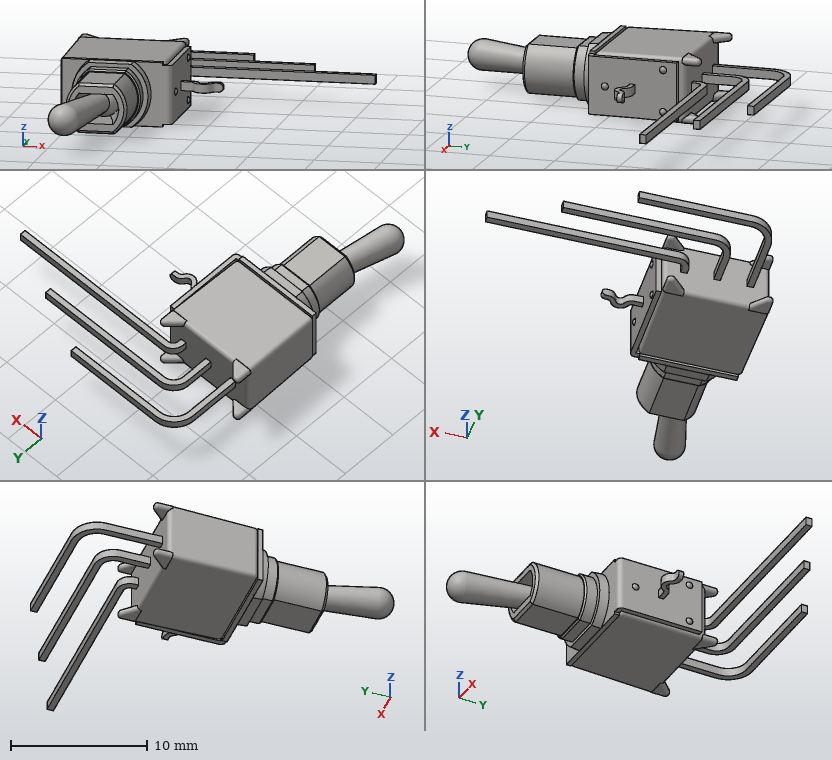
import cadquery as cq
import math

OVERLAP = 0.1

HOUSING_HALF_X = 4.07
HOUSING_HALF_Z = 2.5
HOUSING_REAR = 7.5
HOUSING_EDGE = 0.32
HOUSING_DRAFT = 0.9
POST_TIP = 8.55
POST_TIP_WIDTH = 0.5
POST_HEIGHT = 0.57
POST_TIP_ROUND = 0.27
POST_EDGE_ROUND = 0.27

SHEET = 0.4
BEND_OUTER_RADIUS = 0.37
PLATE_LEFT = -3.75
PLATE_RIGHT = 3.8
PLATE_HALF_Z = 2.42
LEG_OUTER = 4.5
LEG_HALF_Z = 2.22
LEG_REAR = 6.9
BUMP_RADIUS = 0.27
BUMP_HEIGHT = 0.15
FRONT_BUMP_Y = 1.37
REAR_BUMP_Y = 5.85
REAR_BUMP_Z = 1.6
BUMP_PLACES = ((FRONT_BUMP_Y, 0), (REAR_BUMP_Y, REAR_BUMP_Z), (REAR_BUMP_Y, -REAR_BUMP_Z))

TAB_Y = 3.5
TAB_TIP = 7.65
TAB_TIP_ROUND = 0.32
KINK_X = 6.19
KINK_HALF_LENGTH = 1.0
KINK_DEPTH = 0.6

STRIP_WIDTH = 0.67
LEAD_COUNT = 3
LEAD_PITCH = 2.55
LEAD_THICK = 0.5
LONGEST_LEAD_END = 18.0
NEAREST_LEAD_Y = 8.58
NEAREST_BEND_RADIUS = 0.75
BEND_RADIUS_STEP = 0.5

NUT_RADIUS, NUT_HALF_Z, NUT_FRONT = 2.95, 2.45, -0.75
NUT_TAPER = 6.0
COLLAR_RADIUS, COLLAR_HALF_Z, COLLAR_FRONT = 2.5, 2.07, -1.75
COLLAR_CHAMFER = 0.12
BARREL_RADIUS, BARREL_HALF_Z, BARREL_FRONT = 2.3, 1.87, -5.7
BARREL_CHAMFER = 0.2
SOCKET_MOUTH_RADIUS = 1.7
SOCKET_HALF_Z = 1.12

PIVOT_Y = -2.67
PIVOT_RADIUS = 1.2
LEVER_TILT = 12.0
LEVER_ROOT_RADIUS = 0.75
LEVER_TIP_RADIUS = 1.17
LEVER_FRONT = -11.02


def box_between(x_range, y_range, half_z):
    """Box spanning the given X and Y ranges, centred on Z = 0."""
    return (
        cq.Workplane("XY", origin=(0, 0, -half_z))
        .moveTo(x_range[0], y_range[0])
        .lineTo(x_range[1], y_range[0])
        .lineTo(x_range[1], y_range[1])
        .lineTo(x_range[0], y_range[1])
        .close()
        .extrude(2 * half_z)
    )


def flatted_disc(radius, half_z, rear, front, taper=0):
    """Disc along -Y with flats at +Z and -Z."""
    half_chord = math.sqrt(radius**2 - half_z**2)
    return (
        cq.Workplane("XZ", origin=(0, rear, 0))
        .moveTo(-half_chord, half_z)
        .lineTo(half_chord, half_z)
        .threePointArc((radius, 0), (half_chord, -half_z))
        .lineTo(-half_chord, -half_z)
        .threePointArc((-radius, 0), (-half_chord, half_z))
        .close()
        .extrude(rear - front, taper=taper)
    )


def make_housing():
    return (
        cq.Workplane("XZ", origin=(0, HOUSING_REAR, 0))
        .rect(2 * HOUSING_HALF_X, 2 * HOUSING_HALF_Z)
        .extrude(HOUSING_REAR - SHEET, taper=HOUSING_DRAFT)
        .edges().fillet(HOUSING_EDGE)
    )


def make_post():
    """Rounded post on the rear corner at +X, +Z, with a 45 degree inner slope."""
    foot = HOUSING_REAR - HOUSING_EDGE
    slope_top = HOUSING_HALF_X - POST_TIP_WIDTH
    slope_foot = slope_top - (POST_TIP - foot)
    return (
        cq.Workplane("XY", origin=(0, 0, HOUSING_HALF_Z - POST_HEIGHT))
        .moveTo(slope_foot, foot)
        .lineTo(HOUSING_HALF_X, foot)
        .lineTo(HOUSING_HALF_X, POST_TIP)
        .lineTo(slope_top, POST_TIP)
        .close()
        .extrude(POST_HEIGHT)
        .edges("|Z and >Y").fillet(POST_TIP_ROUND)
        .faces("<Z or >Z").edges("not <Y").fillet(POST_EDGE_ROUND)
    )


def make_bracket():
    plate = box_between((PLATE_LEFT, PLATE_RIGHT), (0, SHEET), PLATE_HALF_Z)
    bend = box_between((PLATE_RIGHT, LEG_OUTER), (0, SHEET), LEG_HALF_Z)
    leg = box_between((LEG_OUTER - SHEET, LEG_OUTER), (0, LEG_REAR), LEG_HALF_Z)
    angle = bend.union(leg).edges("|Z and >X and <Y").fillet(BEND_OUTER_RADIUS)
    return plate.union(angle)


def make_bump(y, z):
    """Low dome on the outside of the bracket leg."""
    dome_radius = (BUMP_RADIUS**2 + BUMP_HEIGHT**2) / (2 * BUMP_HEIGHT)
    root_x = LEG_OUTER - OVERLAP
    profile = (
        cq.Workplane("XY", origin=(0, y, z))
        .moveTo(root_x, 0)
        .lineTo(root_x, BUMP_RADIUS)
        .lineTo(LEG_OUTER, BUMP_RADIUS)
        .radiusArc((LEG_OUTER + BUMP_HEIGHT, 0), dome_radius)
        .close()
    )
    return profile.revolve(360, (0, 0, 0), (1, 0, 0))


def make_tab():
    """Strip with a smooth kink toward -Y and a round tip."""
    run, drop = KINK_HALF_LENGTH, KINK_DEPTH
    bend_radius = (run**2 + drop**2) / (4 * drop)
    start, end = KINK_X - run, KINK_X + run
    turn = 2 * math.atan(drop / run)
    arc_x = bend_radius * math.sin(turn / 2)
    arc_y = bend_radius * (1 - math.cos(turn / 2))
    centreline = (
        cq.Workplane("XY")
        .moveTo(LEG_OUTER - OVERLAP, TAB_Y)
        .lineTo(start, TAB_Y)
        .threePointArc((start + arc_x, TAB_Y - arc_y), (KINK_X - run / 2, TAB_Y - drop / 2))
        .threePointArc((KINK_X, TAB_Y - drop), (KINK_X + run / 2, TAB_Y - drop / 2))
        .threePointArc((end - arc_x, TAB_Y - arc_y), (end, TAB_Y))
        .lineTo(TAB_TIP, TAB_Y)
    )
    section = cq.Workplane("YZ", origin=(LEG_OUTER - OVERLAP, TAB_Y, 0)).rect(SHEET, STRIP_WIDTH)
    strip = section.sweep(centreline)
    return strip.edges("|Y and >X").fillet(TAB_TIP_ROUND)


def make_lead(index):
    """Lead bent from the rear of the housing toward +X; index 0 is the one nearest +X."""
    x = (1 - index) * LEAD_PITCH
    y = NEAREST_LEAD_Y + index * LEAD_PITCH
    end_x = LONGEST_LEAD_END - 2 * index * LEAD_PITCH
    radius = NEAREST_BEND_RADIUS + index * BEND_RADIUS_STEP
    root = HOUSING_REAR - OVERLAP
    corner = radius * (1 - math.cos(math.pi / 4))
    centreline = (
        cq.Workplane("XY")
        .moveTo(x, root)
        .lineTo(x, y - radius)
        .threePointArc((x + corner, y - corner), (x + radius, y))
        .lineTo(end_x, y)
    )
    return cq.Workplane("XZ", origin=(x, root, 0)).rect(LEAD_THICK, STRIP_WIDTH).sweep(centreline)


def make_bushing():
    nut = flatted_disc(NUT_RADIUS, NUT_HALF_Z, 0, NUT_FRONT, NUT_TAPER)
    collar = flatted_disc(COLLAR_RADIUS, COLLAR_HALF_Z, 0, COLLAR_FRONT)
    collar = collar.faces("<Y").chamfer(COLLAR_CHAMFER)
    barrel = flatted_disc(BARREL_RADIUS, BARREL_HALF_Z, 0, BARREL_FRONT)
    barrel = barrel.faces("<Y").chamfer(BARREL_CHAMFER)
    socket = (
        cq.Workplane("XY")
        .moveTo(0, PIVOT_Y)
        .lineTo(PIVOT_RADIUS, PIVOT_Y)
        .lineTo(SOCKET_MOUTH_RADIUS, BARREL_FRONT)
        .lineTo(0, BARREL_FRONT)
        .close()
        .revolve(360, (0, 0, 0), (0, 1, 0))
    )
    slot = box_between((-BARREL_RADIUS, BARREL_RADIUS), (BARREL_FRONT, 0), SOCKET_HALF_Z)
    return nut.union(collar).union(barrel).cut(socket.intersect(slot))


def make_lever():
    """Tapered lever with a round tip, tilted about the ball at its pivot."""
    tip_centre = LEVER_FRONT + LEVER_TIP_RADIUS
    tip_y = PIVOT_Y - (PIVOT_Y - tip_centre) / math.cos(math.radians(LEVER_TILT))
    shaft = (
        cq.Workplane("XY")
        .moveTo(0, PIVOT_Y)
        .lineTo(LEVER_ROOT_RADIUS, PIVOT_Y)
        .lineTo(LEVER_TIP_RADIUS, tip_y)
        .radiusArc((0, tip_y - LEVER_TIP_RADIUS), LEVER_TIP_RADIUS)
        .close()
        .revolve(360, (0, 0, 0), (0, 1, 0))
    )
    ball = cq.Workplane("XY").sphere(PIVOT_RADIUS).translate((0, PIVOT_Y, 0))
    return shaft.rotate((0, PIVOT_Y, 0), (0, PIVOT_Y, 1), -LEVER_TILT).union(ball)


result = make_housing().union(make_bracket()).union(make_bushing()).union(make_lever()).union(make_tab())

post = make_post()
for corner_post in (post, post.mirror("YZ")):
    result = result.union(corner_post).union(corner_post.mirror("XY"))

for bump_y, bump_z in BUMP_PLACES:
    result = result.union(make_bump(bump_y, bump_z))

for lead_index in range(LEAD_COUNT):
    result = result.union(make_lead(lead_index))